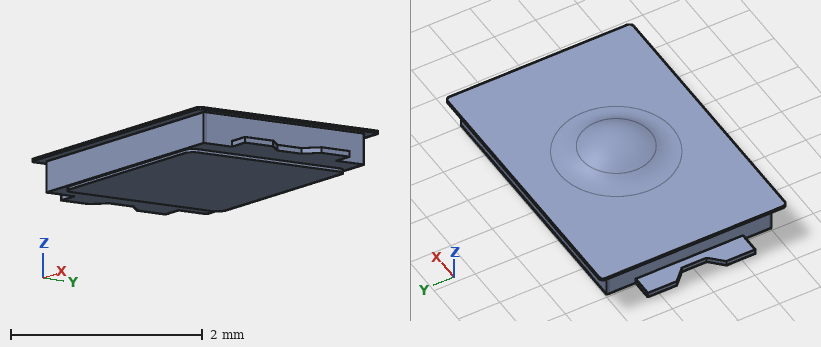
import cadquery as cq
import math

body_bottom = 0.035
cover_bottom = 0.365
cover_top = 0.39
total_height = 0.59

cover_length = 3.2
cover_width = 2.25
cover_corner_radius = 0.05

body_length = 3.0
body_width = 2.0
body_end_flat_width = 1.95
body_corner_radius = 0.05

pad_length = 2.4
pad_width = 1.95
pad_corner_radius = 0.1

terminal_span = 3.5
terminal_width = 1.3
terminal_thickness = 0.06
notch_mouth = 0.6
notch_floor = 0.3
notch_depth = (notch_mouth - notch_floor) / 2

dome_rim_radius = 0.685
dome_crown_radius = 0.417


def rounded_plate(length, width, bottom, top, corner_radius):
    """Flat plate centred on the Z axis with rounded vertical corners."""
    plate = cq.Workplane("XY").workplane(offset=bottom).rect(length, width).extrude(top - bottom)
    return plate.edges("|Z").fillet(corner_radius)


def make_body():
    """Block whose corner rounds are cut short by the flat long sides."""
    full_round_width = body_end_flat_width + 2 * body_corner_radius
    rounded = rounded_plate(body_length, full_round_width, body_bottom, cover_bottom, body_corner_radius)
    side_limits = cq.Workplane("XY").box(body_length, body_width, 2 * cover_top)
    return rounded.intersect(side_limits)


def make_terminals():
    """One strip through the body, notched at both ends to form four feet."""
    end = terminal_span / 2
    strip = (
        cq.Workplane("XY")
        .workplane(offset=body_bottom)
        .rect(terminal_span, terminal_width)
        .extrude(terminal_thickness)
    )
    for side in (-1, 1):
        notch = (
            cq.Workplane("XY")
            .workplane(offset=body_bottom)
            .moveTo(side * end, -notch_mouth / 2)
            .lineTo(side * (end - notch_depth), -notch_floor / 2)
            .lineTo(side * (end - notch_depth), notch_floor / 2)
            .lineTo(side * end, notch_mouth / 2)
            .close()
            .extrude(terminal_thickness)
        )
        strip = strip.cut(notch)
    return strip


def make_dome():
    """Spherical crown blending tangentially into a skirt that runs out flat on the cover."""
    dome_height = total_height - cover_top
    arc_angle = 2 * math.atan(dome_height / dome_rim_radius)
    crown_sphere_radius = dome_crown_radius / math.sin(arc_angle)
    skirt_radius = (dome_rim_radius - dome_crown_radius) / math.sin(arc_angle)
    half_sine = math.sin(arc_angle / 2)
    half_cosine = math.cos(arc_angle / 2)

    crown_middle = (
        crown_sphere_radius * half_sine,
        total_height - crown_sphere_radius * (1 - half_cosine),
    )
    crown_edge = (
        dome_crown_radius,
        total_height - crown_sphere_radius * (1 - math.cos(arc_angle)),
    )
    skirt_middle = (
        dome_rim_radius - skirt_radius * half_sine,
        cover_top + skirt_radius * (1 - half_cosine),
    )
    return (
        cq.Workplane("XZ")
        .moveTo(0, cover_bottom)
        .lineTo(0, total_height)
        .threePointArc(crown_middle, crown_edge)
        .threePointArc(skirt_middle, (dome_rim_radius, cover_top))
        .lineTo(dome_rim_radius, cover_bottom)
        .close()
        .revolve(360, (0, 0, 0), (0, 1, 0))
    )


base_pad = rounded_plate(pad_length, pad_width, 0, body_bottom, pad_corner_radius)
cover = rounded_plate(cover_length, cover_width, cover_bottom, cover_top, cover_corner_radius)

result = base_pad.union(make_body()).union(make_terminals()).union(cover).union(make_dome())